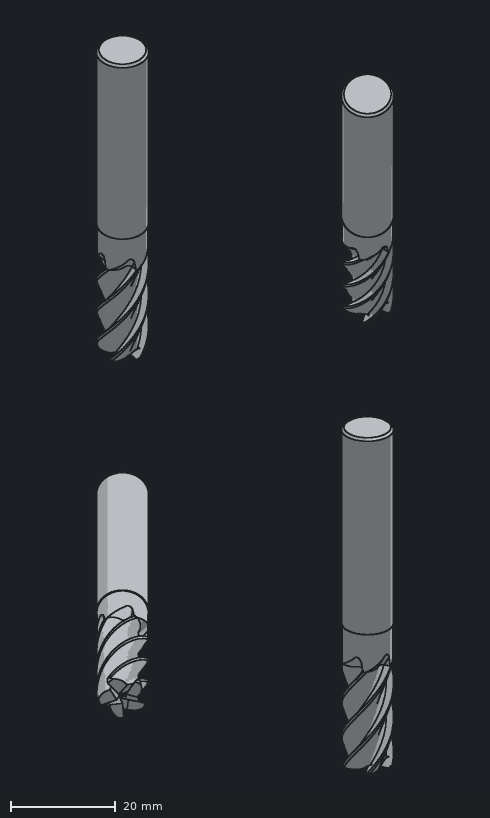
import cadquery as cq
import math


total_length = 72.0
neck_top = 30.1
cutter_length = 22.1

shank_diameter = 10.0
neck_diameter = 9.8
top_chamfer = 0.5
runout_length = 2.95

shank_radius = shank_diameter / 2
neck_radius = neck_diameter / 2
neck_chamfer = shank_radius - neck_radius

flute_count = 5
helix_angle = 40.0
first_edge_angle = 182.0

cutting_radius = shank_radius
tooth_pitch = 360 / flute_count
helix_lead = math.pi * shank_diameter / math.tan(math.radians(helix_angle))
twist_angle = 360 * cutter_length / helix_lead

land_end = (4.9, 8.0)
heel_middle = (4.2, 27.0)
flute_start = (3.3, 46.0)
flute_bottom = (3.0, 58.0)
rake_foot = (3.6, 71.0)

corner_chamfer = 0.6
gash_depth = 1.9
gash_start = 0.1
gash_lean = 1.15
gash_width = 1.15
end_relief_angle = 8.0
tip_cut_reach = 2 * cutting_radius


def polar(radius, angle):
    """Point at a radius and an angle in degrees."""
    turn = math.radians(angle)
    return (radius * math.cos(turn), radius * math.sin(turn))


def behind_edge(section_point, edge):
    """Place a tooth section point behind the cutting edge at angle `edge`."""
    radius, angle = section_point
    return polar(radius, edge + angle)


def extend(inner, outer, distance):
    """Point a distance beyond `outer` on the line from `inner`."""
    dx = outer[0] - inner[0]
    dy = outer[1] - inner[1]
    length = math.hypot(dx, dy)
    return (outer[0] + dx * distance / length, outer[1] + dy * distance / length)


def add_flute_curve(outline, edge):
    """Continue an outline from the end of the land down the heel and along the flute bottom."""
    return outline.threePointArc(
        behind_edge(heel_middle, edge), behind_edge(flute_start, edge)
    ).threePointArc(behind_edge(flute_bottom, edge), behind_edge(rake_foot, edge))




def tooth_section():
    """Closed outline of all the teeth at the tip."""
    outline = cq.Workplane("XY").moveTo(*polar(cutting_radius, first_edge_angle))
    for i in range(flute_count):
        edge = first_edge_angle + i * tooth_pitch
        outline = outline.lineTo(*behind_edge(land_end, edge))
        outline = add_flute_curve(outline, edge)
        if i < flute_count - 1:
            outline = outline.lineTo(*polar(cutting_radius, edge + tooth_pitch))
    return outline.close()


def tip_envelope():
    """Cylinder around the cutter, chamfered at the tooth corners."""
    cylinder = cq.Workplane("XY").circle(cutting_radius).extrude(cutter_length)
    return cylinder.faces("<Z").chamfer(corner_chamfer)


def end_gash(edge):
    """Wedge cut in front of one end tooth, its wall leaning back with the helix."""
    wedge = (
        cq.Workplane("YZ")
        .moveTo(gash_start - gash_width, 0)
        .lineTo(gash_start, 0)
        .lineTo(gash_start + gash_lean, gash_depth)
        .close()
        .extrude(tip_cut_reach)
    )
    return wedge.rotate((0, 0, 0), (0, 0, 1), edge)


def end_relief(edge):
    """Thin wedge cut under one end tooth, growing from its end edge back to the next gash."""
    rise = tip_cut_reach * math.tan(math.radians(end_relief_angle))
    wedge = (
        cq.Workplane("YZ")
        .moveTo(gash_start, 0)
        .lineTo(gash_start + tip_cut_reach, 0)
        .lineTo(gash_start + tip_cut_reach, rise)
        .close()
        .extrude(tip_cut_reach)
    )
    sector = (
        cq.Workplane("XY")
        .lineTo(tip_cut_reach, 0)
        .lineTo(*polar(tip_cut_reach, tooth_pitch))
        .close()
        .extrude(rise)
    )
    return wedge.intersect(sector).rotate((0, 0, 0), (0, 0, 1), edge)


def build_cutter():
    body = tooth_section().twistExtrude(cutter_length, twist_angle)
    body = body.intersect(tip_envelope())
    for i in range(flute_count):
        edge = first_edge_angle + i * tooth_pitch
        body = body.cut(end_gash(edge))
        body = body.cut(end_relief(edge))
    return body




def flute_runout(edge):
    """End of one flute, going straight up the neck while it rises out of the surface."""
    land_corner = behind_edge(land_end, edge)
    next_edge = polar(cutting_radius, edge + tooth_pitch)
    overreach = cutting_radius
    outline = (
        cq.Workplane("XY", origin=(0, 0, cutter_length))
        .moveTo(*extend((0, 0), land_corner, overreach))
        .lineTo(*land_corner)
    )
    outline = add_flute_curve(outline, edge)
    outline = outline.lineTo(*extend(behind_edge(rake_foot, edge), next_edge, overreach)).close()

    bottom_radius, bottom_angle = flute_bottom
    outward = polar(neck_radius - bottom_radius, edge + bottom_angle)
    path = cq.Vector(*outward, runout_length)
    return cq.Workplane(cq.Solid.extrudeLinear(outline.val(), [], path))


def build_shank():
    body = (
        cq.Workplane("XY", origin=(0, 0, neck_top))
        .circle(shank_radius)
        .extrude(total_length - neck_top)
        .faces(">Z")
        .chamfer(top_chamfer)
        .faces("<Z")
        .chamfer(neck_chamfer)
    )
    neck = (
        cq.Workplane("XY", origin=(0, 0, cutter_length))
        .circle(neck_radius)
        .extrude(neck_top - cutter_length)
    )
    body = body.union(neck)
    for i in range(flute_count):
        edge = first_edge_angle + twist_angle + i * tooth_pitch
        body = body.cut(flute_runout(edge))
    return body


cutter = build_cutter()
shank = build_shank()

result = cq.Compound.makeCompound([shank.val(), cutter.val()])